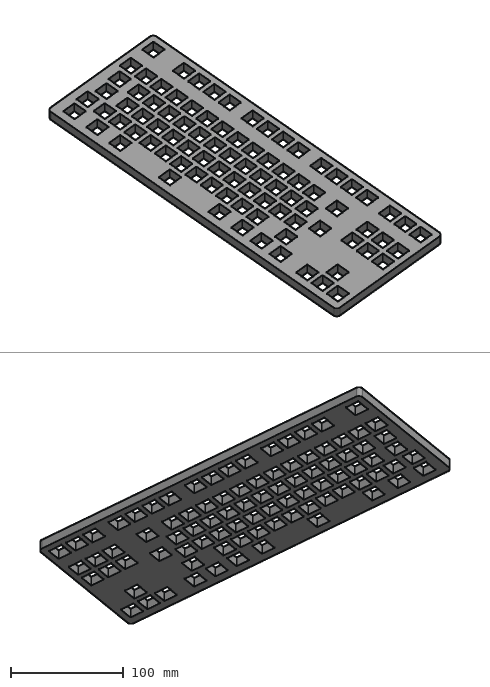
import cadquery as cq

LENGTH = 360.5
WIDTH = 133.7
THICKNESS = 10.0
CORNER_RADIUS = 4.0

SWITCH_OPENING = 14.0
FIRST_TO_LAST_SWITCH = 333.0

UNITS_WIDE = 18.5
KEY_PITCH = FIRST_TO_LAST_SWITCH / (UNITS_WIDE - 1)

RIM = (LENGTH - UNITS_WIDE * KEY_PITCH) / 2
GRID_LEFT = -LENGTH / 2 + RIM
GRID_BACK = WIDTH / 2 - RIM

NAV_START = 15.5
NAV_KEYS = [1] * 3

KEY_ROWS = [
    (0, [(0, [1]), (2, [1] * 4), (6.5, [1] * 4), (11, [1] * 4), (NAV_START, NAV_KEYS)]),
    (1.5, [(0, [1] * 13 + [2]), (NAV_START, NAV_KEYS)]),
    (2.5, [(0, [1.5] + [1] * 12), (NAV_START, NAV_KEYS)]),
    (3, [(13.75, [1.25])]),
    (3.5, [(0, [1.75] + [1] * 12)]),
    (4.5, [(0, [1.25] + [1] * 11 + [2.75]), (NAV_START + 1, [1])]),
    (5.5, [(0, [1.5] * 3 + [5] + [1.5, 1.5, 1, 1.5]), (NAV_START, NAV_KEYS)]),
]


def switch_centers(rows):
    """Return the XY center of every keycap in the layout."""
    centers = []
    for row_back, blocks in rows:
        y = GRID_BACK - (row_back + 0.5) * KEY_PITCH
        for block_left, key_widths in blocks:
            key_left = block_left
            for key_width in key_widths:
                x = GRID_LEFT + (key_left + key_width / 2) * KEY_PITCH
                centers.append((x, y))
                key_left += key_width
    return centers


def make_plate():
    """Flat plate with rounded vertical corners, resting on Z = 0."""
    plate = cq.Workplane("XY").box(LENGTH, WIDTH, THICKNESS, centered=(True, True, False))
    return plate.edges("|Z").fillet(CORNER_RADIUS)


def make_switch_cutters():
    """Square prisms through the full thickness, one per switch."""
    return (
        cq.Workplane("XY")
        .pushPoints(switch_centers(KEY_ROWS))
        .rect(SWITCH_OPENING, SWITCH_OPENING)
        .extrude(THICKNESS)
    )


result = make_plate().cut(make_switch_cutters())